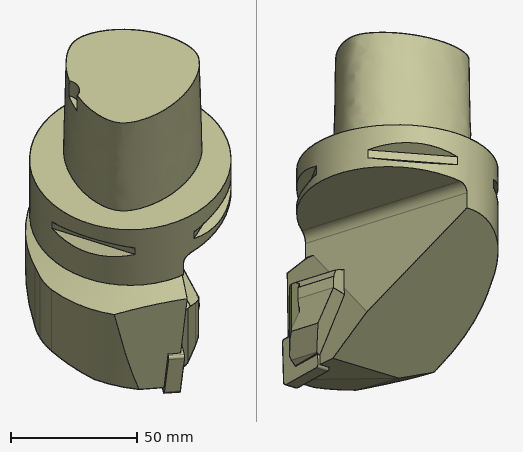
import cadquery as cq
import math

FLANGE_DIAMETER = 80.0
FLANGE_HEIGHT = 31.0
FLANGE_RADIUS = FLANGE_DIAMETER / 2
SHANK_HEIGHT = 48.0
TOOL_LENGTH = 128.0
TIP_Z = SHANK_HEIGHT - TOOL_LENGTH
REACH = 3 * TOOL_LENGTH

SHANK_BASE_RADIUS = 27.5
SHANK_TOP_RADIUS = 26.5
LOBE_HEIGHT = 2.0
LOBE_COUNT = 3
LOBE_POINTS = 36

NOTCH_RADIUS = 5.5
NOTCH_CENTER_Y = -27.5
NOTCH_DEPTH = 8.5

SLOT_COUNT = 4
SLOT_FLOOR_RADIUS = 35.7
SLOT_CENTER_Z = -12.0
SLOT_FLOOR_HEIGHT = 3.5
SLOT_MOUTH_HEIGHT = 8.6

POCKET_WALL_Y = 7.7
POCKET_ROOF_Z = -21.0
POCKET_ROOF_SLOPE = 0.093
POCKET_FILLET = 4.0

HEAD_TOP_ANGLE = 15.0
HEAD_MAX_RADIUS = 76.8
BULGE_START = (-21.8, -33.5)
BULGE_FRONT_MID = (-6.4, -42.1)
BULGE_FRONT_START = (12.2, -45.2)
BULGE_FRONT_END = (18.2, -45.2)
BULGE_CORNER_MID = (22.3, -44.5)
BULGE_CORNER_END = (26.0, -43.3)
BULGE_SIDE_MID = (43.0, -30.5)
BULGE_SIDE_END = (54.3, -5.1)

SEAT_POINT = (39.7, 6.9, -32.0)

BOSS_SIDE = [
    (-2.5, -41), (7.7, -41.5), (13.5, -44.0), (14.7, -47.4), (15.0, -52.5), (12.7, -64.6), (5.0, -72.7), (-2.5, -76.8),
]
BOSS_PLAN = [
    (20.5, -2.5), (20.5, 15.4), (37.8, 15.4), (37.8, 14.0), (42.2, 12.9), (44.5, 10.8), (48.0, 6.1), (48.0, -2.5),
]
BOSS_FACE = [(20.5, -41), (48.6, -41), (48.6, -74.2), (35.8, -73), (20.5, -52.5)]

INSERT_SIDE = 19.2
INSERT_ANGLE = 80.0
INSERT_THICKNESS = 6.5
INSERT_NOSE_RADIUS = 1.3
INSERT_TIP = (55.2, 0.1, TIP_Z - 0.1)
RAKE_NORMAL = cq.Vector(0.15, 1, -0.12)
EDGE_RISE = 0.1


def half_space(point, normal):
    """Large block filling the side of a plane that the normal points to."""
    return cq.Workplane(cq.Plane(origin=point, normal=normal)).rect(REACH, REACH).extrude(REACH)


def below(a, b, c):
    """Large block under the plane through three points."""
    a, b, c = cq.Vector(*a), cq.Vector(*b), cq.Vector(*c)
    normal = (b - a).cross(c - a)
    if normal.z > 0:
        normal = -normal
    return half_space(a, normal)


def lobed_outline(mean_radius):
    """Points of a constant-width outline with one lobe toward +Y."""
    points = []
    for i in range(LOBE_POINTS):
        angle = 2 * math.pi * i / LOBE_POINTS
        phase = LOBE_COUNT * (angle - math.pi / 2)
        support = mean_radius + LOBE_HEIGHT * math.cos(phase)
        slope = -LOBE_COUNT * LOBE_HEIGHT * math.sin(phase)
        x = support * math.cos(angle) - slope * math.sin(angle)
        y = support * math.sin(angle) + slope * math.cos(angle)
        points.append((x, y))
    return points


def make_shank():
    shank = (
        cq.Workplane("XY")
        .spline(lobed_outline(SHANK_BASE_RADIUS), periodic=True).close()
        .workplane(offset=SHANK_HEIGHT)
        .spline(lobed_outline(SHANK_TOP_RADIUS), periodic=True).close()
        .loft(ruled=True)
    )
    notch = (
        cq.Workplane("XY", origin=(0, NOTCH_CENTER_Y, SHANK_HEIGHT - NOTCH_DEPTH))
        .circle(NOTCH_RADIUS)
        .extrude(NOTCH_DEPTH)
    )
    return shank.cut(notch)


def make_slot(angle):
    """Straight slot with flared flanks, cut across the flange rim."""
    floor = SLOT_FLOOR_HEIGHT / 2
    mouth = SLOT_MOUTH_HEIGHT / 2
    section = [
        (SLOT_FLOOR_RADIUS, -floor),
        (FLANGE_RADIUS, -mouth),
        (FLANGE_RADIUS, mouth),
        (SLOT_FLOOR_RADIUS, floor),
    ]
    slot = (
        cq.Workplane("XZ", origin=(0, 0, SLOT_CENTER_Z))
        .polyline(section).close()
        .extrude(FLANGE_RADIUS, both=True)
    )
    return slot.rotate((0, 0, 0), (0, 0, 1), angle)


def make_flange():
    flange = cq.Workplane("XY").circle(FLANGE_RADIUS).extrude(-FLANGE_HEIGHT)
    spacing = 360 / SLOT_COUNT
    for i in range(SLOT_COUNT):
        flange = flange.cut(make_slot((i + 0.5) * spacing))
    return flange


def make_head():
    """Offset head with a conical top, a slanted back and a faceted underside."""
    depth = -FLANGE_HEIGHT - TIP_Z
    bulge = (
        cq.Workplane("XY", origin=(0, 0, -FLANGE_HEIGHT))
        .moveTo(*BULGE_START)
        .threePointArc(BULGE_FRONT_MID, BULGE_FRONT_START)
        .lineTo(*BULGE_FRONT_END)
        .threePointArc(BULGE_CORNER_MID, BULGE_CORNER_END)
        .threePointArc(BULGE_SIDE_MID, BULGE_SIDE_END)
        .lineTo(BULGE_SIDE_END[0], POCKET_WALL_Y)
        .lineTo(0, POCKET_WALL_Y)
        .close()
        .extrude(-depth)
    )
    core = cq.Workplane("XY", origin=(0, 0, -FLANGE_HEIGHT)).circle(FLANGE_RADIUS).extrude(-depth)
    head = core.union(bulge)

    cone_drop = (HEAD_MAX_RADIUS - FLANGE_RADIUS) * math.tan(math.radians(HEAD_TOP_ANGLE))
    envelope = (
        cq.Workplane("XZ")
        .moveTo(0, -FLANGE_HEIGHT)
        .lineTo(FLANGE_RADIUS, -FLANGE_HEIGHT)
        .lineTo(HEAD_MAX_RADIUS, -FLANGE_HEIGHT - cone_drop)
        .lineTo(HEAD_MAX_RADIUS, TIP_Z)
        .lineTo(0, TIP_Z)
        .close()
        .revolve(360, (0, 0, 0), (0, 1, 0))
    )
    head = head.intersect(envelope)

    back_top = (-FLANGE_RADIUS, 0, -FLANGE_HEIGHT)
    heel = (29.0, 3.1, -76.5)
    ridge_back = (22.4, -32.8, -72.7)
    ridge_front = (52.5, -1.3, -77.6)
    relief_break = (42.2, -31.4, -73.0)
    belly = (*BULGE_FRONT_END, -67.3)
    head = head.cut(below(back_top, heel, ridge_back))
    head = head.cut(below(heel, ridge_back, ridge_front))
    head = head.cut(below(ridge_back, ridge_front, relief_break))
    head = head.cut(below(ridge_back, relief_break, belly))

    end_corner = cq.Vector(49.9, 5.8, -33.7)
    end_edge = cq.Vector(47.2, -24.3, -34.5) - end_corner
    end_drop = cq.Vector(53.2, 0, -77.7) - end_corner
    end_normal = end_edge.cross(end_drop)
    if end_normal.x < 0:
        end_normal = -end_normal
    return head.cut(half_space(end_corner, end_normal))


def make_chip_pocket():
    outer_y = FLANGE_DIAMETER
    outer_z = POCKET_ROOF_Z + POCKET_ROOF_SLOPE * (outer_y - POCKET_WALL_Y)
    return (
        cq.Workplane("YZ", origin=(-FLANGE_DIAMETER, 0, 0))
        .moveTo(POCKET_WALL_Y, POCKET_ROOF_Z)
        .lineTo(outer_y, outer_z)
        .lineTo(outer_y, -TOOL_LENGTH)
        .lineTo(POCKET_WALL_Y, -TOOL_LENGTH)
        .close()
        .extrude(2 * FLANGE_DIAMETER)
        .edges(cq.selectors.NearestToPointSelector((0, POCKET_WALL_Y, POCKET_ROOF_Z)))
        .fillet(POCKET_FILLET)
    )


def make_seat_cut():
    """Raked seat face of the insert, limited to the space below the flange."""
    below_flange = half_space((0, 0, -FLANGE_HEIGHT), (0, 0, -1))
    return half_space(SEAT_POINT, RAKE_NORMAL).intersect(below_flange)


def make_clamp_boss():
    """Faceted boss over the seat: three outlines crossed with one another."""
    boss = cq.Workplane("YZ").polyline(BOSS_SIDE).close().extrude(TOOL_LENGTH)
    boss = boss.intersect(cq.Workplane("XY").polyline(BOSS_PLAN).close().extrude(-TOOL_LENGTH))
    return boss.intersect(cq.Workplane("XZ").polyline(BOSS_FACE).close().extrude(TOOL_LENGTH, both=True))


def make_insert():
    """Rhombic cutting insert with its upper face on the rake plane through the tip."""
    edge_y = RAKE_NORMAL.x - RAKE_NORMAL.z * EDGE_RISE
    edge = cq.Vector(-1, edge_y, EDGE_RISE)
    angle = math.radians(INSERT_ANGLE)
    lean = INSERT_SIDE * math.cos(angle)
    rise = INSERT_SIDE * math.sin(angle)
    return (
        cq.Workplane(cq.Plane(origin=INSERT_TIP, xDir=edge, normal=RAKE_NORMAL))
        .polyline([(0, 0), (INSERT_SIDE, 0), (INSERT_SIDE + lean, rise), (lean, rise)]).close()
        .extrude(-INSERT_THICKNESS)
        .edges(cq.selectors.ParallelDirSelector(RAKE_NORMAL))
        .fillet(INSERT_NOSE_RADIUS)
    )


insert = make_insert()

holder = make_flange().union(make_head())
holder = holder.cut(make_chip_pocket())
holder = holder.cut(make_seat_cut())
holder = holder.union(make_shank())
holder = holder.union(make_clamp_boss())
holder = holder.cut(insert)

result = cq.Compound.makeCompound([*holder.solids().vals(), insert.val()])